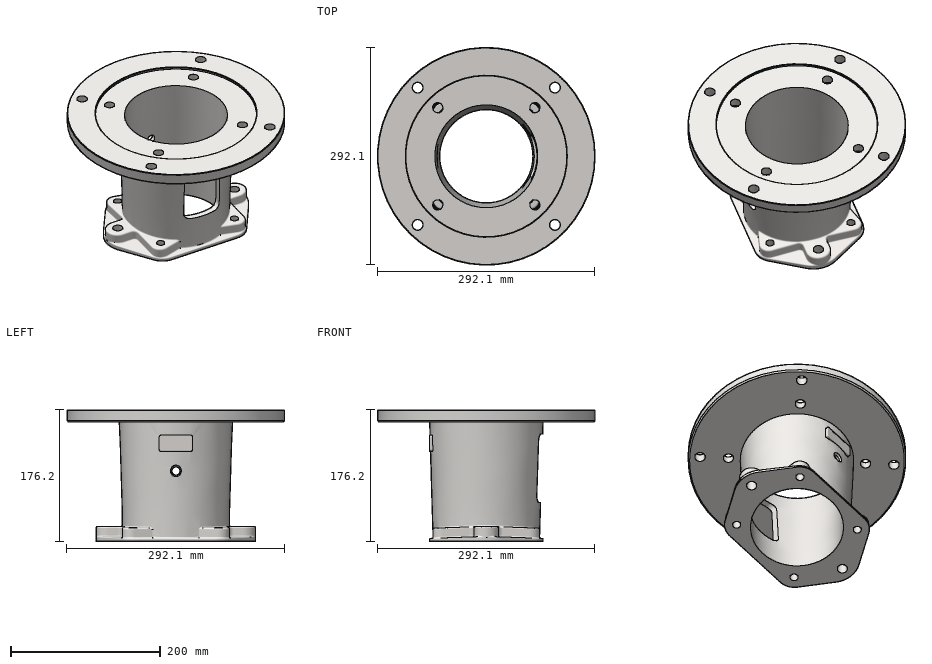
import cadquery as cq
import math

total_height = 176.21

flange_diameter = 292.1
flange_thickness = 16.3
flange_top_chamfer = 0.8
flange_bottom_chamfer = 2.0
recess_diameter = 215.9
recess_depth = 3.175
recess_edge_chamfer = 0.8
outer_bolt_circle = 260.35
outer_hole_diameter = 14.0
inner_bolt_circle = 184.15
inner_hole_diameter = 13.5

tube_top_radius = 76.2
tube_bottom_radius = 71.4
bore_top_radius = 69.0
bore_bottom_radius = 62.4

roof_slope = math.tan(math.radians(2))

foot_half_width = 76.2
foot_half_length = 107.0
foot_ridge_z = 6.8
foot_corner_radius = 25.4
foot_end_radius = 38.1
foot_edge_fillet = 1.5

pad_ridge_z = 20.3
pad_corner = (75.7, 71.7)
pad_side_end = (64.4, 29.9)
pad_corner_radius = 13.2
pad_inner_radius = 6.0
pad_top_fillet = 2.2
root_fillet = 1.5
corner_bolt_circle = 161.9
corner_hole_diameter = 10.8
end_bolt_circle = 181.0
end_hole_diameter = 13.5

window_width = 55.0
window_bottom_z = 52.4
window_top_z = 144.0
window_corner_radius = 9.0

side_hole_z = 94.5
side_hole_diameter = 10.8
side_hole_chamfer = 2.2

plate_width = 45.0
plate_bottom_z = 120.6
plate_top_z = 142.7
plate_face_x = -76.2
plate_corner_radius = 3.0
plate_edge_fillet = 1.0

contact_tolerance = 0.01

upward_limit = 0.9

flange_bottom_z = total_height - flange_thickness
recess_floor_z = total_height - recess_depth
end_bolt_y = end_bolt_circle / 2
end_pad_radius = foot_half_length - end_bolt_y


def cone(bottom_radius, top_radius, top_z):
    """Solid cone frustum standing on z = 0."""
    profile = [(0, 0), (bottom_radius, 0), (top_radius, top_z), (0, top_z)]
    return cq.Workplane("XZ").polyline(profile).close().revolve(360, (0, 0), (0, 1))


def roof(ridge_z):
    """Block whose top falls away on both sides of a ridge along the Y axis."""
    eave_z = ridge_z - roof_slope * flange_diameter / 2
    profile = [
        (-flange_diameter / 2, 0),
        (flange_diameter / 2, 0),
        (flange_diameter / 2, eave_z),
        (0, ridge_z),
        (-flange_diameter / 2, eave_z),
    ]
    return cq.Workplane("XZ").polyline(profile).close().extrude(flange_diameter / 2, both=True)


def upward_faces(body):
    """Faces that are level or only gently sloped and look up."""
    return [face for face in body.faces().vals() if face.normalAt().z > upward_limit]


def round_roof_edges(body, radius):
    """Round the edges around the sloped top, leaving the ridge lines sharp."""
    edges = body.newObject(upward_faces(body)).edges().vals()
    rim = [edge for edge in edges if abs(edge.Center().x) > contact_tolerance]
    return body.newObject(rim).fillet(radius)


def round_vertical_edge(body, x, y, radius):
    """Round the vertical edge that stands at the point (x, y)."""
    reach = 0.1
    box = cq.selectors.BoxSelector((x - reach, y - reach, 0), (x + reach, y + reach, pad_ridge_z))
    return body.edges("|Z").edges(box).fillet(radius)


def bolt_holes(bolt_circle, diameter, bottom_z, depth):
    """Four vertical cylinders at 45 degrees on a bolt circle."""
    spacing = bolt_circle * math.sin(math.radians(45))
    plane = cq.Workplane("XY").workplane(offset=bottom_z)
    return plane.rect(spacing, spacing, forConstruction=True).vertices().circle(diameter / 2).extrude(depth)


def make_flange():
    disc = cq.Workplane("XY").workplane(offset=flange_bottom_z)
    disc = disc.circle(flange_diameter / 2).extrude(flange_thickness)
    disc = disc.faces(">Z").edges().chamfer(flange_top_chamfer)
    disc = disc.faces("<Z").edges().chamfer(flange_bottom_chamfer)
    recess = cq.Workplane("XY").workplane(offset=recess_floor_z)
    recess = recess.circle(recess_diameter / 2).extrude(recess_depth)
    return disc.cut(recess).faces(">Z").edges(cq.selectors.RadiusNthSelector(0)).chamfer(recess_edge_chamfer)


def make_foot_plate():
    """Plate with rounded corners whose sloped sides run tangent into round ends."""
    corner_x = foot_half_width - foot_corner_radius
    corner_y = corner_x
    end_y = foot_half_length - foot_end_radius
    center_angle = math.atan2(corner_y - end_y, corner_x)
    center_distance = math.hypot(corner_x, corner_y - end_y)
    angle = center_angle + math.acos((foot_end_radius - foot_corner_radius) / center_distance)

    def on_corner(direction):
        return (
            corner_x + foot_corner_radius * math.cos(direction),
            corner_y + foot_corner_radius * math.sin(direction),
        )

    end_tangent = (foot_end_radius * math.cos(angle), end_y + foot_end_radius * math.sin(angle))
    quarter = (
        cq.Workplane("XY")
        .lineTo(foot_half_width, 0)
        .lineTo(foot_half_width, corner_y)
        .threePointArc(on_corner(angle / 2), on_corner(angle))
        .lineTo(*end_tangent)
        .radiusArc((0, foot_half_length), -foot_end_radius)
        .close()
        .extrude(foot_ridge_z)
    )
    half = quarter.union(quarter.mirror("YZ"))
    plate = half.union(half.mirror("XZ")).clean().intersect(roof(foot_ridge_z))
    return round_roof_edges(plate, foot_edge_fillet)


def make_pads():
    """Two corner pads and one end pad at each end of the foot, joined by concave corners."""
    corner_x, corner_y = pad_corner
    side_x, side_y = pad_side_end
    pads = (
        cq.Workplane("XY")
        .moveTo(side_x, 0)
        .lineTo(side_x, side_y)
        .lineTo(corner_x, corner_y)
        .lineTo(end_pad_radius, corner_y)
        .lineTo(end_pad_radius, end_bolt_y)
        .threePointArc((0, foot_half_length), (-end_pad_radius, end_bolt_y))
        .lineTo(-end_pad_radius, corner_y)
        .lineTo(-corner_x, corner_y)
        .lineTo(-side_x, side_y)
        .lineTo(-side_x, 0)
        .close()
        .extrude(pad_ridge_z)
    )
    for side in (-1, 1):
        pads = round_vertical_edge(pads, side * corner_x, corner_y, pad_corner_radius)
        pads = round_vertical_edge(pads, side * end_pad_radius, corner_y, pad_inner_radius)
    pads = pads.union(pads.mirror("XZ")).clean().intersect(roof(pad_ridge_z))
    return round_roof_edges(pads, pad_top_fillet)


def make_tube():
    return cone(tube_bottom_radius, tube_top_radius, flange_bottom_z)


def make_window():
    """Rounded rectangular opening cut outwards from the bore towards +X."""
    height = window_top_z - window_bottom_z
    middle_z = (window_top_z + window_bottom_z) / 2
    window = cq.Workplane("YZ").center(0, middle_z).rect(window_width, height).extrude(flange_diameter / 2)
    return window.edges("|X").fillet(window_corner_radius)


def make_name_plate():
    """Rounded rectangle standing slightly proud of the tube on the -X side."""
    height = plate_top_z - plate_bottom_z
    middle_z = (plate_top_z + plate_bottom_z) / 2
    plate = cq.Workplane("YZ").center(0, middle_z).rect(plate_width, height).extrude(plate_face_x)
    plate = plate.edges("|X").fillet(plate_corner_radius)
    return plate.faces("<X").edges().fillet(plate_edge_fillet)


def make_side_hole():
    """Radial hole through the -X wall with a countersunk mouth."""
    radius = side_hole_diameter / 2
    mouth_x = tube_bottom_radius + (tube_top_radius - tube_bottom_radius) * side_hole_z / flange_bottom_z
    outer_x = mouth_x + side_hole_chamfer
    profile = [
        (0, 0),
        (0, radius),
        (-mouth_x + side_hole_chamfer, radius),
        (-outer_x, radius + 2 * side_hole_chamfer),
        (-outer_x, 0),
    ]
    hole = cq.Workplane("XY").polyline(profile).close().revolve(360, (0, 0), (1, 0))
    return hole.translate((0, 0, side_hole_z))


def touching_edges(faces, rising):
    """Edges of the faces that lie against a body rising from them."""
    found = []
    for edge in cq.Workplane("XY").newObject(faces).edges().vals():
        middle = cq.Vertex.makeVertex(*edge.positionAt(0.5).toTuple())
        if rising.val().distance(middle) < contact_tolerance:
            found.append(edge)
    return found


def make_foot_and_tube():
    """Foot, pads and tube joined, with rounded inside corners around everything that rises."""
    tube = make_tube()
    pads = make_pads()
    pads_and_tube = pads.union(tube)
    casting = make_foot_plate().union(pads_and_tube)
    tops = upward_faces(casting)
    foot_tops = [face for face in tops if face.Center().z < foot_ridge_z]
    pad_tops = [face for face in tops if foot_ridge_z < face.Center().z < pad_ridge_z]
    roots = touching_edges(foot_tops, pads_and_tube) + touching_edges(pad_tops, tube)
    return casting.newObject(roots).fillet(root_fillet)


def make_end_holes():
    """One vertical cylinder through each end pad."""
    points = [(0, -end_bolt_y), (0, end_bolt_y)]
    return cq.Workplane("XY").pushPoints(points).circle(end_hole_diameter / 2).extrude(pad_ridge_z)


body = make_foot_and_tube().union(make_flange()).union(make_name_plate())

body = body.cut(cone(bore_bottom_radius, bore_top_radius, recess_floor_z))
body = body.cut(make_window()).cut(make_side_hole())

body = body.cut(bolt_holes(outer_bolt_circle, outer_hole_diameter, flange_bottom_z, flange_thickness))
body = body.cut(bolt_holes(inner_bolt_circle, inner_hole_diameter, flange_bottom_z, flange_thickness))

body = body.cut(bolt_holes(corner_bolt_circle, corner_hole_diameter, 0, pad_ridge_z))
body = body.cut(make_end_holes())

result = body